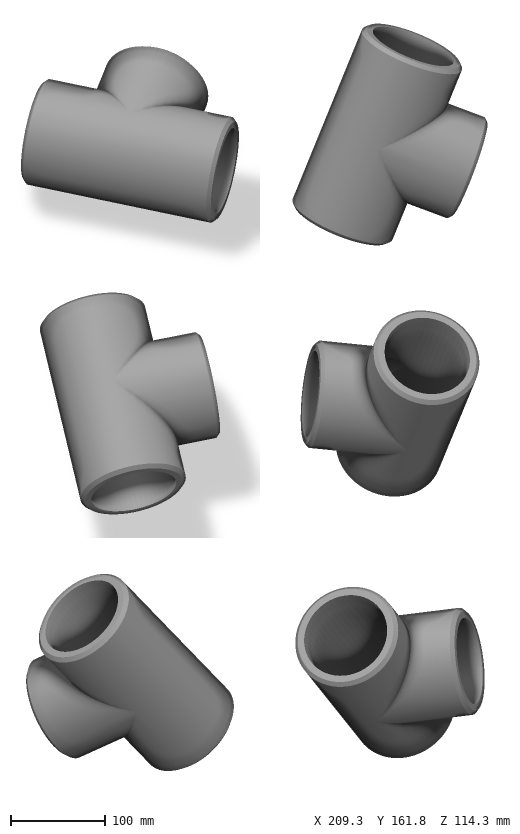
import cadquery as cq

run_length = 209.3
branch_length = run_length / 2
outer_diameter = 114.3
bore_diameter = 92.0
end_chamfer = 4.0


def run_cylinder(diameter):
    """Cylinder along X, centred on the origin."""
    return cq.Workplane("YZ").circle(diameter / 2).extrude(run_length / 2, both=True)


def branch_cylinder(diameter):
    """Cylinder along +Y, from the run axis to the branch end."""
    return cq.Workplane("XZ").circle(diameter / 2).extrude(-branch_length)


run = run_cylinder(outer_diameter).faces("<X or >X").chamfer(end_chamfer)
branch = branch_cylinder(outer_diameter).faces(">Y").chamfer(end_chamfer)
body = run.union(branch)

bores = run_cylinder(bore_diameter).union(branch_cylinder(bore_diameter))

result = body.cut(bores)